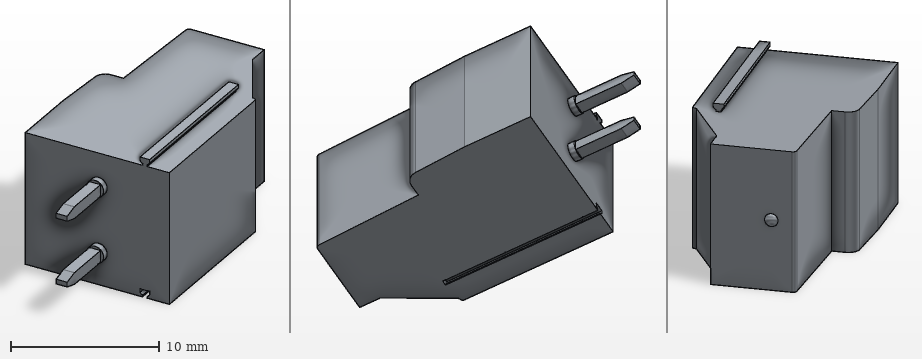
import cadquery as cq


pole_count = 2
pole_pitch = 5.08
body_width = 11.2
body_length = 18.0
body_height = pole_count * pole_pitch

taper_start_y = 5.15
step_y = 9.85
step_outer_x = 0.28
step_inner_x = 1.98
step_radius = 0.82
nose_left_x = 2.3
nose_radius = 0.28

nose_right_x = 8.25
slope_top_y = 16.43
slope_foot_x = 10.88
slope_foot_y = 11.85
right_side_y = 11.7

rib_center_x = 9.3
rib_length = 12.05
rib_height = 0.58
rib_width = 0.75
neck_width = 0.37
neck_height = 0.12
rib_edge_height = 0.28

pin_x = 5.7
collar_diameter = 1.33
collar_length = 0.5
pin_length = 5.0
pin_width = 0.86
pin_thickness = 0.9
tip_length = 0.98
tip_thickness = 0.37

overall_length = 23.3
button_x = 4.0
button_radius = 0.47
button_height = overall_length - pin_length - body_length


def make_housing():
    """Extrude the stepped outline and round its step and nose corners."""
    outline = [
        (0, 0),
        (body_width, 0),
        (body_width, right_side_y),
        (slope_foot_x, slope_foot_y),
        (nose_right_x, slope_top_y),
        (nose_right_x, body_length),
        (nose_left_x, body_length),
        (step_inner_x, step_y),
        (step_outer_x, step_y),
        (0, taper_start_y),
    ]
    housing = cq.Workplane("XY").polyline(outline).close().extrude(body_height)
    step_corner = cq.selectors.NearestToPointSelector((step_outer_x, step_y, body_height / 2))
    nose_corner = cq.selectors.NearestToPointSelector((nose_left_x, body_length, body_height / 2))
    housing = housing.edges(step_corner).fillet(step_radius)
    return housing.edges(nose_corner).fillet(nose_radius)


def make_dovetail(base_z):
    """Rib on a narrow neck, rising from base_z and running back from the pin face."""
    half_neck = neck_width / 2
    half_rib = rib_width / 2
    section = [
        (-half_neck, 0),
        (half_neck, 0),
        (half_neck, neck_height),
        (half_rib, rib_height - rib_edge_height),
        (half_rib, rib_height),
        (-half_rib, rib_height),
        (-half_rib, rib_height - rib_edge_height),
        (-half_neck, neck_height),
    ]
    rib = cq.Workplane("XZ").polyline(section).close().extrude(-rib_length)
    return rib.translate((rib_center_x, 0, base_z))


def make_pin(center_z):
    """Round collar with a rectangular pin whose tip tapers in Z."""
    collar = cq.Workplane("XZ").circle(collar_diameter / 2).extrude(collar_length)
    half_thickness = pin_thickness / 2
    half_tip = tip_thickness / 2
    taper_y = tip_length - pin_length
    side = [
        (0, -half_thickness),
        (taper_y, -half_thickness),
        (-pin_length, -half_tip),
        (-pin_length, half_tip),
        (taper_y, half_thickness),
        (0, half_thickness),
    ]
    blade = cq.Workplane("YZ").polyline(side).close().extrude(pin_width / 2, both=True)
    return collar.union(blade).translate((pin_x, 0, center_z))


def make_button():
    """Sphere sunk into the nose, midway along Z, so that a spherical cap stands proud."""
    sphere_radius = (button_radius**2 + button_height**2) / (2 * button_height)
    cap_center_y = body_length + button_height - sphere_radius
    sphere = cq.Workplane("XY").sphere(sphere_radius)
    return sphere.translate((button_x, cap_center_y, body_height / 2))


result = make_housing().union(make_button())
result = result.cut(make_dovetail(0))
result = result.union(make_dovetail(body_height))
for pole in range(pole_count):
    result = result.union(make_pin((pole + 0.5) * pole_pitch))